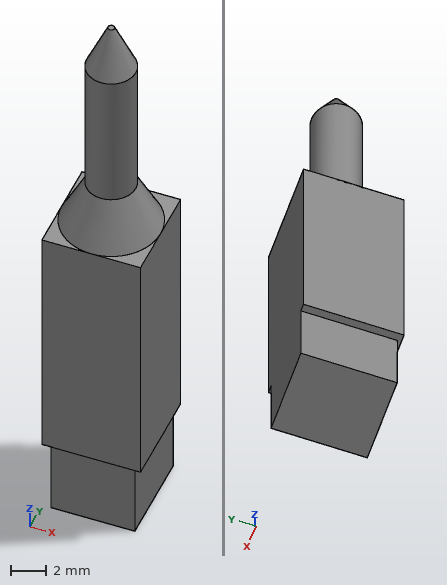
import cadquery as cq

total_height = 36.0
body_side = 6.0
body_height = 16.0
tenon_width = 5.1
tenon_depth = 5.75
tenon_height = 5.0
shoulder_height = 3.0
pin_diameter = 3.0
point_height = 3.0
tip_diameter = 0.4

body_top = tenon_height + body_height
pin_bottom = body_top + shoulder_height
point_bottom = total_height - point_height


def make_tenon():
    """Narrower block under the body, flush with its +Y face and centred in X."""
    tenon_center_y = (body_side - tenon_depth) / 2
    return (
        cq.Workplane("XY")
        .center(0, tenon_center_y)
        .rect(tenon_width, tenon_depth)
        .extrude(tenon_height)
    )


def make_body():
    """Square block standing on the tenon."""
    return (
        cq.Workplane("XY", origin=(0, 0, tenon_height))
        .rect(body_side, body_side)
        .extrude(body_height)
    )


def make_pin():
    """Conical shoulder, straight pin and conical point turned about the Z axis."""
    shoulder_radius = body_side / 2
    pin_radius = pin_diameter / 2
    tip_radius = tip_diameter / 2
    profile = [
        (0, body_top),
        (shoulder_radius, body_top),
        (pin_radius, pin_bottom),
        (pin_radius, point_bottom),
        (tip_radius, total_height),
        (0, total_height),
    ]
    return cq.Workplane("XZ").polyline(profile).close().revolve(360, (0, 0), (0, 1))


result = make_body().union(make_tenon()).union(make_pin())